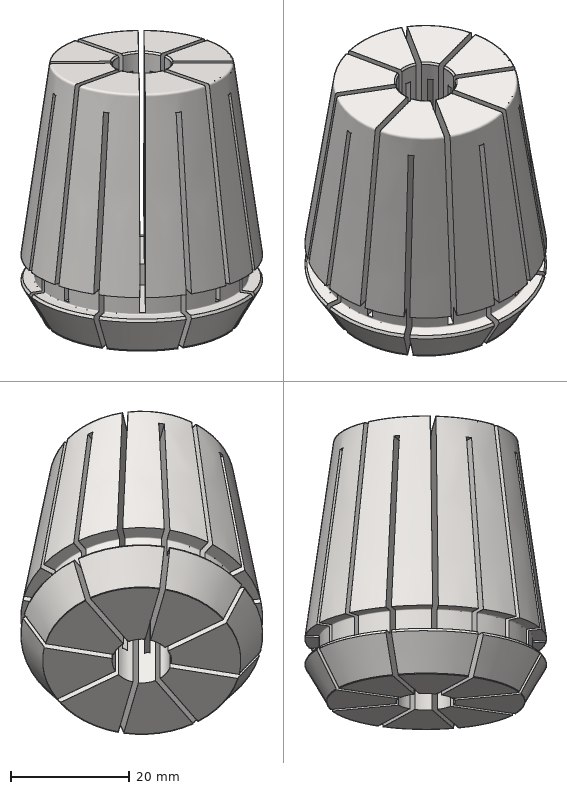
import cadquery as cq
import math

height = 46.0
max_diameter = 41.0
max_radius = max_diameter / 2

bore_radius = 5.0
bore_chamfer = 0.3

body_bottom_z = 11.1
body_half_angle = 8.0
top_edge_fillet = 0.45

groove_radius = 18.12
groove_bottom_z = 7.1
groove_fillet = 0.2

rim_z = 6.6
rim_chamfer = 0.3
nose_land = 0.2
nose_half_angle = 30.0

slots_per_end = 8
slot_pitch = 360.0 / slots_per_end
slot_width = 0.95
bottom_slot_end_z = 42.5
blade_length = 1.5 * max_diameter
top_slot_floor_z = 7.55


def body_radius(z):
    """Radius of the long cone at height z."""
    return max_radius - (z - body_bottom_z) * math.tan(math.radians(body_half_angle))


def fillet_ring(solid, ring_radius, z, fillet_radius):
    """Round the circular edge of the given radius at height z."""

    def is_ring(edge):
        same_radius = math.isclose(edge.radius(), ring_radius, abs_tol=4.6e-05)
        same_height = math.isclose(edge.Center().z, z, abs_tol=4.6e-05)
        return same_radius and same_height

    return solid.edges("%CIRCLE").filter(is_ring).fillet(fillet_radius)


def revolved_blank():
    """Collet without slots: half section turned around Z."""
    nose_radius = max_radius - (rim_z - nose_land) * math.tan(math.radians(nose_half_angle))
    half_section = [
        (bore_radius, 0),
        (nose_radius, 0),
        (nose_radius, nose_land),
        (max_radius, rim_z),
        (max_radius - rim_chamfer, groove_bottom_z),
        (groove_radius, groove_bottom_z),
        (groove_radius, body_bottom_z),
        (max_radius, body_bottom_z),
        (body_radius(height), height),
        (bore_radius + bore_chamfer, height),
        (bore_radius, height - bore_chamfer),
    ]
    blank = cq.Workplane("XZ").polyline(half_section).close().revolve(360, (0, 0), (0, 1))
    blank = fillet_ring(blank, body_radius(height), height, top_edge_fillet)
    blank = fillet_ring(blank, groove_radius, groove_bottom_z, groove_fillet)
    blank = fillet_ring(blank, groove_radius, body_bottom_z, groove_fillet)
    return blank


def slot_cutters(width, z_low, z_high, first_angle):
    """Full-diameter blades; each blade makes two opposite slots."""
    cutters = cq.Workplane("XY")
    for index in range(slots_per_end // 2):
        blade = (
            cq.Workplane("XY", origin=(0, 0, z_low))
            .box(blade_length, width, z_high - z_low, centered=(True, True, False))
            .rotate((0, 0, 0), (0, 0, 1), first_angle + index * slot_pitch)
        )
        cutters = cutters.add(blade)
    return cutters.combine()


bottom_slots = slot_cutters(slot_width, 0, bottom_slot_end_z, 0)
top_slots = slot_cutters(slot_width, top_slot_floor_z, height, slot_pitch / 2)

result = revolved_blank().cut(bottom_slots).cut(top_slots)